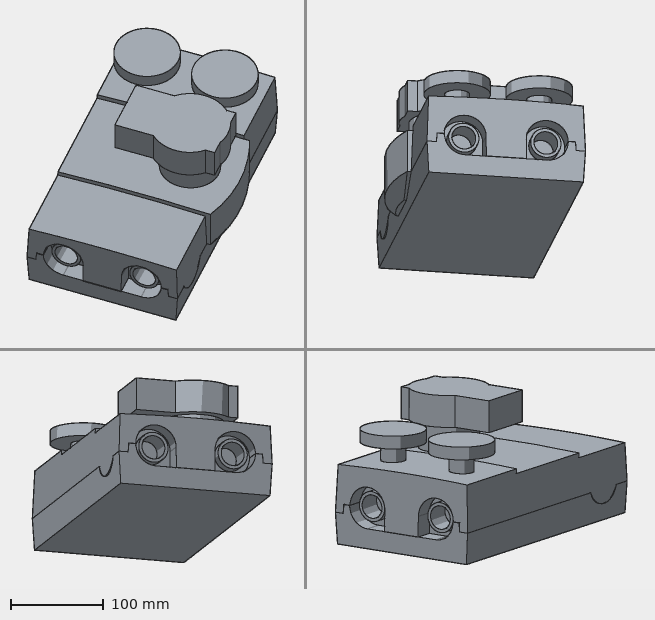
import cadquery as cq
import math

split_z = 35.3
total_height = 150.5

body_half_width = 86.8
tongue_end_y = 150.7
cover_draft = 2.3
base_side_draft = 3.5
base_end_draft = 1.5

back_roof_z = 89.8
roof_step = 5.0
crown_radius = 1868.8

middle_y = -3.5
middle_half_length = 58.8
wing_corner_x = 91.0
wing_tip_x = 102.5
wing_foot_z = 15.0
wing_foot_half_length = 24.0
wing_foot_corner_x = 88.3
wing_foot_tip_x = 91.5

entry_x = 45.0
entry_z = 45.2
pocket_radius = 23.0
pocket_depth = 21.0
gland_radius = 16.5
gland_length = 12.0
bore_radius = 13.0
entry_depth = 45.2
bore_depth = 36.2

saddle_half_width = 76.5
saddle_draft = 5.0

tab_y = -105.8
tab_radius = 26.2

knob_y = 101.3
knob_radius = 36.0
knob_bottom_z = 109.7
knob_top_z = 124.0
knob_stem_radius = 13.5
handle_radius = 43.7
handle_bottom_z = 115.0
handle_stem_radius = 33.2
handle_bar_min_x = -29.5
handle_bar_max_x = 85.5
handle_bar_width = 63.3

tan_cover = math.tan(math.radians(cover_draft))
tongue_bottom_z = entry_z - pocket_radius
body_half_length = tongue_end_y - (split_z - tongue_bottom_z) * tan_cover
middle_roof_z = back_roof_z - roof_step
front_roof_z = middle_roof_z - roof_step
stem_root_z = front_roof_z
middle_back_y = middle_y + middle_half_length
middle_front_y = middle_y - middle_half_length


def box(x0, x1, y0, y1, z0, z1):
    return cq.Workplane("XY").box(x1 - x0, y1 - y0, z1 - z0, centered=False).translate((x0, y0, z0))


def cylinder_z(x, y, radius, z0, z1):
    return cq.Workplane("XY", origin=(x, y, z0)).circle(radius).extrude(z1 - z0)


def cover_block(y0, y1, height):
    """Drafted block standing on the parting plane."""
    return (
        cq.Workplane("XY", origin=(0, (y0 + y1) / 2, split_z))
        .rect(2 * body_half_width, y1 - y0)
        .extrude(height, taper=cover_draft)
    )


def base_block(height):
    """Full-length block with the base draft; a negative height hangs it below the parting plane."""
    grow_x = 2 * height * math.tan(math.radians(base_side_draft))
    grow_y = 2 * height * math.tan(math.radians(base_end_draft))
    return (
        cq.Workplane("XY", origin=(0, 0, split_z))
        .rect(2 * body_half_width, 2 * body_half_length)
        .workplane(offset=height)
        .rect(2 * body_half_width + grow_x, 2 * body_half_length + grow_y)
        .loft()
    )


def under_crown(roof_z):
    """Everything below a crowned roof whose ridge runs along Y."""
    half_width = wing_tip_x + 3
    edge_z = roof_z - crown_radius + math.sqrt(crown_radius ** 2 - half_width ** 2)
    return (
        cq.Workplane("XZ", origin=(0, 2 * body_half_length, 0))
        .moveTo(-half_width, 0)
        .lineTo(-half_width, edge_z)
        .threePointArc((0, roof_z), (half_width, edge_z))
        .lineTo(half_width, 0)
        .close()
        .extrude(4 * body_half_length)
    )


def wing_outline(z, half_length, corner_x, tip_x):
    """Outline of the wing with its bowed outer edge, reaching in to the body centre."""
    return (
        cq.Workplane("XY", origin=(0, middle_y, z))
        .moveTo(0, -half_length)
        .lineTo(corner_x, -half_length)
        .threePointArc((tip_x, 0), (corner_x, half_length))
        .lineTo(0, half_length)
        .close()
    )


def end_pair(shape):
    """The shape made at the front end plus its mirror image at the back end."""
    return shape.union(shape.mirror("XZ"))


def entry_slot():
    """Long round-ended slot that spans both cable entries of the front end."""
    return (
        cq.Workplane("XZ", origin=(0, -body_half_length + entry_depth, entry_z))
        .slot2D(2 * (entry_x + pocket_radius), 2 * pocket_radius)
        .extrude(2 * entry_depth)
    )


def entry_cylinder(x, radius, near, far):
    """Cylinder along Y between two depths behind the front end face."""
    return (
        cq.Workplane("XZ", origin=(x, far - body_half_length, entry_z))
        .circle(radius)
        .extrude(far - near)
    )


def cable_entry(side):
    """Pocket with a squared inner bottom corner, around a tubular gland with a blind bore."""
    x = side * entry_x
    inner_x = x - side * pocket_radius
    corner = box(
        min(x, inner_x), max(x, inner_x),
        -body_half_length - pocket_depth, -body_half_length + pocket_depth,
        tongue_bottom_z, entry_z,
    )
    gland = entry_cylinder(x, gland_radius, pocket_depth - gland_length, pocket_depth)
    return (
        entry_cylinder(x, pocket_radius, -pocket_depth, pocket_depth)
        .union(corner)
        .cut(gland)
        .union(entry_cylinder(x, bore_radius, 0, bore_depth))
    )


def saddle():
    """Full-length rise of the base, cut away where the cover tongues enter."""
    rise = entry_z - split_z
    run = rise * math.tan(math.radians(saddle_draft))
    profile = (
        cq.Workplane("XZ", origin=(0, 2 * body_half_length, split_z))
        .polyline([
            (-saddle_half_width, 0),
            (saddle_half_width, 0),
            (saddle_half_width - run, rise),
            (-saddle_half_width + run, rise),
        ])
        .close()
        .extrude(4 * body_half_length)
    )
    return profile.intersect(base_block(rise)).cut(end_pair(entry_slot()))


def skirt():
    """Cover walls continued below the parting plane at the same draft."""
    return (
        cq.Workplane("XY", origin=(0, 0, split_z))
        .rect(2 * body_half_width, 2 * body_half_length)
        .extrude(-split_z, taper=-cover_draft)
    )


def tab_discs():
    """Round tabs on both sides, reaching from the saddle out past the wall."""
    disc = (
        cq.Workplane("YZ", origin=(saddle_half_width, tab_y, entry_z))
        .circle(tab_radius)
        .extrude(body_half_width)
    )
    return disc.union(disc.mirror("YZ"))


def below_split(shape):
    """The part of a shape that lies below the parting plane."""
    reach = 2 * tongue_end_y
    return shape.intersect(box(-reach, reach, -reach, reach, 0, split_z))


def wing_underside():
    """Sloping underside of the wing, running in to a short foot on the wall."""
    foot = wing_outline(wing_foot_z, wing_foot_half_length, wing_foot_corner_x, wing_foot_tip_x)
    rim = wing_outline(split_z, middle_half_length, wing_corner_x, wing_tip_x)
    return cq.Workplane(cq.Solid.makeLoft([foot.val(), rim.val()], True))


def middle_block():
    """Drafted only on its sides; its ends are upright and carry the wing."""
    height = middle_roof_z - split_z
    walls = cover_block(-body_half_length, body_half_length, height)
    reach = 2 * body_half_width
    ends = box(-reach, reach, middle_front_y, middle_back_y, 0, total_height)
    wing = wing_outline(split_z, middle_half_length, wing_corner_x, wing_tip_x).extrude(height)
    return walls.intersect(ends).union(wing).intersect(under_crown(middle_roof_z))


def end_block(y0, y1, roof_z):
    """Back or front block, drafted all round under its crowned roof."""
    block = cover_block(y0, y1, roof_z - split_z)
    return block.intersect(under_crown(roof_z))


def knob(x):
    stem = cylinder_z(x, knob_y, knob_stem_radius, stem_root_z, knob_bottom_z)
    return stem.union(cylinder_z(x, knob_y, knob_radius, knob_bottom_z, knob_top_z))


def handle():
    bar = box(
        handle_bar_min_x, handle_bar_max_x,
        middle_y - handle_bar_width / 2, middle_y + handle_bar_width / 2,
        handle_bottom_z, total_height,
    )
    stem = cylinder_z(entry_x, middle_y, handle_stem_radius, stem_root_z, handle_bottom_z)
    disc = cylinder_z(entry_x, middle_y, handle_radius, handle_bottom_z, total_height)
    return stem.union(disc.union(bar))


def cable_entries():
    return end_pair(cable_entry(-1).union(cable_entry(1)))


def make_base():
    base = base_block(-split_z).union(wing_underside()).union(saddle())
    return base.cut(end_pair(entry_slot())).cut(below_split(tab_discs()))


def make_cover():
    back_end_y = middle_back_y - (back_roof_z - split_z) * tan_cover
    front_end_y = middle_front_y + (front_roof_z - split_z) * tan_cover
    cover = (
        middle_block()
        .union(end_block(back_end_y, body_half_length, back_roof_z))
        .union(end_block(-body_half_length, front_end_y, front_roof_z))
        .cut(saddle())
    )
    hanging = below_split(skirt().intersect(tab_discs().union(end_pair(entry_slot()))))
    cover = cover.union(hanging).cut(cable_entries())
    for x in (-entry_x, entry_x):
        cover = cover.union(knob(x))
    return cover.union(handle())


base = make_base()
cover = make_cover()
result = cq.Compound.makeCompound([base.val(), cover.val()])